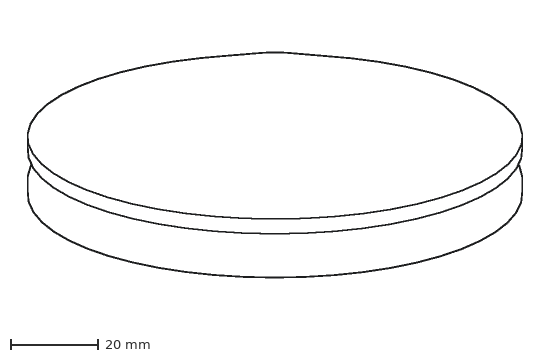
import cadquery as cq
import math

outer_radius = 56.6
total_height = 31.4
groove_radius = 104.0 / 2
groove_bottom = 4.5
groove_top = 10.6
edge_radius = 0.6
top_flat_radius = 4.8
cone_slope = math.radians(20)
crown_radius = 29.8

crown_edge_radius = top_flat_radius + crown_radius * math.sin(cone_slope)
crown_edge_height = total_height - crown_radius * (1 - math.cos(cone_slope))
crown_mid_radius = top_flat_radius + crown_radius * math.sin(cone_slope / 2)
crown_mid_height = total_height - crown_radius * (1 - math.cos(cone_slope / 2))
cone_base_height = crown_edge_height - (outer_radius - crown_edge_radius) * math.tan(cone_slope)


def make_body():
    """Revolve the disc, its conical top and its rounded crown."""
    return (
        cq.Workplane("XZ")
        .lineTo(outer_radius, 0)
        .lineTo(outer_radius, cone_base_height)
        .lineTo(crown_edge_radius, crown_edge_height)
        .threePointArc((crown_mid_radius, crown_mid_height), (top_flat_radius, total_height))
        .lineTo(0, total_height)
        .close()
        .revolve(360, (0, 0, 0), (0, 1, 0))
    )


def make_groove():
    """Ring that clears the groove, with rounded inner corners."""
    ring = (
        cq.Workplane("XY", origin=(0, 0, groove_bottom))
        .circle(outer_radius)
        .circle(groove_radius)
        .extrude(groove_top - groove_bottom)
    )
    inner_edges = cq.selectors.RadiusNthSelector(0)
    return ring.edges("%CIRCLE").edges(inner_edges).fillet(edge_radius)


def round_rims(body):
    """Round the bottom rim and both rims of the groove."""
    rim_band = cq.selectors.BoxSelector(
        (-2 * outer_radius, -2 * outer_radius, -edge_radius),
        (2 * outer_radius, 2 * outer_radius, groove_top + edge_radius),
    )
    outer_edges = cq.selectors.RadiusNthSelector(-1)
    return body.edges("%CIRCLE").edges(rim_band).edges(outer_edges).fillet(edge_radius)


result = round_rims(make_body().cut(make_groove()))